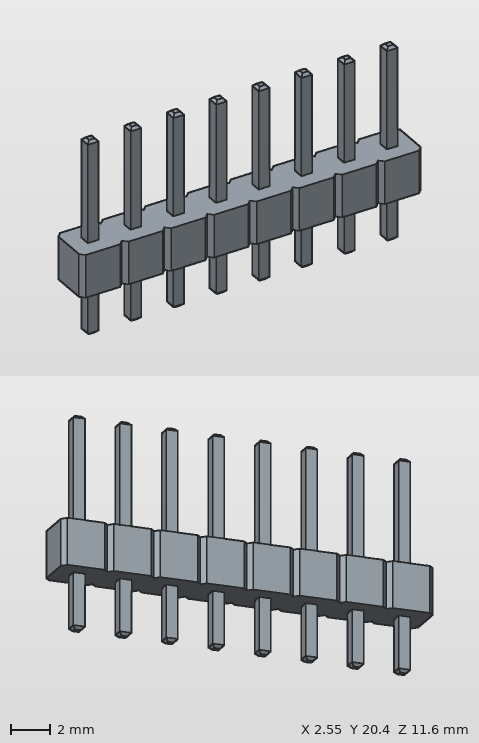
import cadquery as cq

pin_count = 8
pitch = 2.55
body_height = pitch
corner_chamfer = pitch / 10

tip_chamfer = 0.16
pin_width = 4 * tip_chamfer
pin_above = 6.0
pin_below = 3.0

pin_length = pin_below + body_height + pin_above
row_length = pin_count * pitch
row_positions = [(i + 0.5) * pitch - row_length / 2 for i in range(pin_count)]


def make_block():
    """One square block with chamfered upright corners."""
    return (
        cq.Workplane("XY")
        .rect(pitch, pitch)
        .extrude(body_height)
        .edges("|Z")
        .chamfer(corner_chamfer)
    )


def make_pin():
    """One square pin with chamfered tips, reaching above and below the body."""
    return (
        cq.Workplane("XY")
        .workplane(offset=-pin_below)
        .rect(pin_width, pin_width)
        .extrude(pin_length)
        .faces("<Z or >Z")
        .chamfer(tip_chamfer)
    )


segment = make_block().union(make_pin())
result = cq.Workplane("XY")
for y in row_positions:
    result = result.union(segment.translate((0, y, 0)))
result = result.clean()